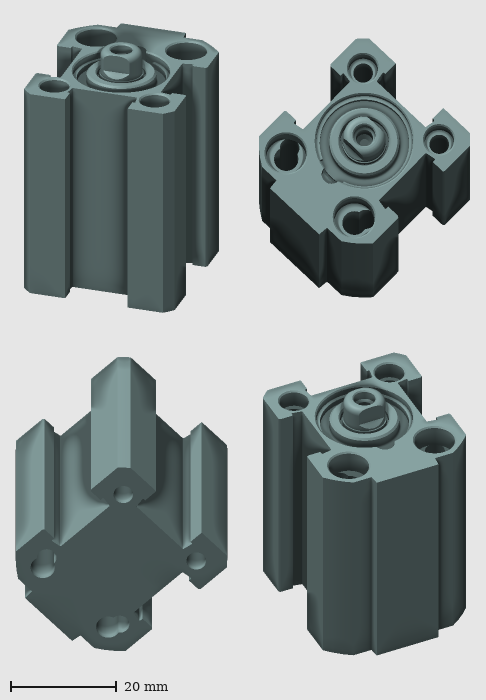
import cadquery as cq
import math


total_height = 46.5
housing_height = 42.0
half_width = 14.995
corner_radius = 20.0
shoulder_y = 17.05
rail_top_y = 19.0
rail_top_half_width = 6.45
rail_root_half_width = 6.65

side_mouth_half_width = 6.05
side_mouth_chamfer = 0.3
front_mouth_half_width = 6.25
slot_lip_depth = 2.9
slot_floor_depth = 5.0
slot_floor_half_width = 6.4
slot_undercut_half_width = 6.8
slot_fillet = 0.2

bolt_offset = 10.0
bolt_hole_diameter = 3.7
small_bore_diameter = 5.6
large_bore_diameter = 7.65
large_bore_x = 8.97
large_bore_y = 12.0
access_hole_diameter = 4.6
small_bore_depth = 3.5
large_bore_depth = 4.4
corner_bore_chamfer = 0.3

bore_diameter = 18.3
bore_mouth_diameter = 18.85
groove_diameter = 19.0
groove_height = 1.1
bore_chamfer = (bore_mouth_diameter - bore_diameter) / 2
gland_face_depth = 2.6
gland_face_z = housing_height - gland_face_depth
gland_thickness = 8.0
gland_diameter = 17.9
bore_floor_z = gland_face_z - gland_thickness
notch_diameter = 3.7
notch_y = 8.97

collar_diameter = 13.2
collar_top_z = housing_height - 0.25
collar_chamfer = 0.35
collar_root_fillet = 0.395
selection_margin = 0.05
seal_seat_diameter = 9.2
seal_seat_depth = 2.8
seal_seat_chamfer = 0.33

ring_inner_diameter = 16.93
ring_gap_left_angle = 16.4
ring_gap_right_angle = 24.3

seal_recess = 1.4
lip_recess = 0.1
lip_diameter = 8.4

rod_diameter = 8.0
rod_flat_width = 6.05
rod_flat_length = 3.5
rod_edge_radius = 1.3
socket_mouth_diameter = 4.6
socket_diameter = 4.15
socket_depth = 1.9
thread_diameter = 3.25
thread_depth = 5.6
drill_tip_diameter = 1.65
drill_tip_half_angle = 59.0


def cylinder(diameter, bottom_z, top_z, x=0.0, y=0.0):
    base = cq.Workplane("XY", origin=(x, y, bottom_z))
    return base.circle(diameter / 2).extrude(top_z - bottom_z)


def cone(bottom_diameter, top_diameter, bottom_z, top_z, x=0.0, y=0.0):
    solid = cq.Solid.makeCone(
        bottom_diameter / 2, top_diameter / 2, top_z - bottom_z, cq.Vector(x, y, bottom_z)
    )
    return cq.Workplane(obj=solid)


def on_corner_circle(offset):
    """The other coordinate of the point of the corner circle at this offset from an axis."""
    return math.sqrt(corner_radius**2 - offset**2)


def housing_block():
    side_y_top = on_corner_circle(half_width)
    shoulder_x = on_corner_circle(shoulder_y)
    diagonal = corner_radius * math.sqrt(0.5)
    upper_angle = (math.atan2(shoulder_y, shoulder_x) + math.atan2(side_y_top, half_width)) / 2
    upper_mid = (corner_radius * math.cos(upper_angle), corner_radius * math.sin(upper_angle))
    return (
        cq.Workplane("XY")
        .moveTo(-side_y_top, -half_width)
        .lineTo(side_y_top, -half_width)
        .threePointArc((diagonal, -diagonal), (half_width, -side_y_top))
        .lineTo(half_width, side_y_top)
        .threePointArc(upper_mid, (shoulder_x, shoulder_y))
        .lineTo(rail_root_half_width, shoulder_y)
        .lineTo(rail_top_half_width, rail_top_y)
        .lineTo(-rail_top_half_width, rail_top_y)
        .lineTo(-rail_root_half_width, shoulder_y)
        .lineTo(-shoulder_x, shoulder_y)
        .threePointArc((-upper_mid[0], upper_mid[1]), (-half_width, side_y_top))
        .lineTo(-half_width, -side_y_top)
        .threePointArc((-diagonal, -diagonal), (-side_y_top, -half_width))
        .close()
        .extrude(housing_height)
    )


def dovetail_slot(turn, mouth_half_width, mouth_chamfer):
    """A slot through the -Y face, turned about the rod axis by this angle."""
    lip_y = -half_width + slot_lip_depth
    floor_y = -half_width + slot_floor_depth
    pocket = (
        cq.Workplane("XY")
        .polyline([
            (-slot_undercut_half_width, lip_y),
            (slot_undercut_half_width, lip_y),
            (slot_floor_half_width, floor_y),
            (-slot_floor_half_width, floor_y),
        ])
        .close()
        .extrude(housing_height)
        .edges("|Z")
        .fillet(slot_fillet)
    )
    mouth = cq.Workplane("XY").box(
        2 * mouth_half_width, slot_lip_depth + slot_fillet, housing_height, centered=(True, False, False)
    ).translate((0, -half_width, 0))
    if mouth_chamfer > 0:
        flare_half_width = mouth_half_width + mouth_chamfer
        flare = (
            cq.Workplane("XY")
            .polyline([
                (-flare_half_width, -half_width),
                (flare_half_width, -half_width),
                (mouth_half_width, -half_width + mouth_chamfer),
                (-mouth_half_width, -half_width + mouth_chamfer),
            ])
            .close()
            .extrude(housing_height)
        )
        mouth = mouth.union(flare)
    return pocket.union(mouth).rotate((0, 0, 0), (0, 0, 1), turn)


def chamfered_bore(diameter, depth, x, y):
    """A flat-floored bore sunk from the top of the housing, with a chamfered mouth."""
    floor_z = housing_height - depth
    mouth = cone(diameter, diameter + 2 * corner_bore_chamfer,
                 housing_height - corner_bore_chamfer, housing_height, x, y)
    return cylinder(diameter, floor_z, housing_height, x, y).union(mouth)


def make_housing():
    body = housing_block()
    body = body.cut(dovetail_slot(0, front_mouth_half_width, 0))
    for turn in (-90, 90):
        body = body.cut(dovetail_slot(turn, side_mouth_half_width, side_mouth_chamfer))

    small_floor_z = housing_height - small_bore_depth
    large_floor_z = housing_height - large_bore_depth
    for side in (-1, 1):
        bolt_x = side * bolt_offset
        access_x = side * large_bore_x
        body = body.cut(cylinder(bolt_hole_diameter, 0, small_floor_z, bolt_x, -bolt_offset))
        body = body.cut(chamfered_bore(small_bore_diameter, small_bore_depth, bolt_x, -bolt_offset))
        body = body.cut(cylinder(bolt_hole_diameter, 0, large_floor_z, bolt_x, bolt_offset))
        body = body.cut(cylinder(access_hole_diameter, 0, large_floor_z, access_x, large_bore_y))
        body = body.cut(chamfered_bore(large_bore_diameter, large_bore_depth, access_x, large_bore_y))

    lead_in_z = gland_face_z - (groove_diameter - gland_diameter) / 2
    body = body.cut(cylinder(gland_diameter, bore_floor_z, gland_face_z))
    body = body.cut(cone(gland_diameter, groove_diameter, lead_in_z, gland_face_z))
    body = body.cut(cylinder(bore_diameter, gland_face_z, housing_height))
    body = body.cut(cone(bore_diameter, bore_mouth_diameter, housing_height - bore_chamfer, housing_height))
    body = body.cut(cylinder(groove_diameter, gland_face_z, gland_face_z + groove_height))
    return body.cut(cylinder(notch_diameter, gland_face_z, housing_height, 0, notch_y))


def make_gland():
    body = cylinder(gland_diameter, bore_floor_z, gland_face_z)
    collar = cylinder(collar_diameter, gland_face_z, collar_top_z).faces(">Z").chamfer(collar_chamfer)
    body = body.union(collar)
    root = cq.selectors.BoxSelector(
        (-collar_diameter, -collar_diameter, gland_face_z - selection_margin),
        (collar_diameter, collar_diameter, gland_face_z + selection_margin),
    )
    smallest = cq.selectors.RadiusNthSelector(0)
    body = body.edges(root).edges("%CIRCLE").edges(smallest).fillet(collar_root_fillet)
    body = body.cut(cylinder(rod_diameter, bore_floor_z, collar_top_z))
    body = body.cut(cylinder(seal_seat_diameter, collar_top_z - seal_seat_depth, collar_top_z))
    return body.cut(cone(seal_seat_diameter, seal_seat_diameter + 2 * seal_seat_chamfer,
                         collar_top_z - seal_seat_chamfer, collar_top_z))


def make_snap_ring():
    ring_top_z = gland_face_z + groove_height
    ring = cylinder(groove_diameter, gland_face_z, ring_top_z)
    ring = ring.cut(cylinder(ring_inner_diameter, gland_face_z, ring_top_z))
    reach = groove_diameter
    left_x = -reach * math.tan(math.radians(ring_gap_left_angle))
    right_x = reach * math.tan(math.radians(ring_gap_right_angle))
    gap = (
        cq.Workplane("XY", origin=(0, 0, gland_face_z))
        .polyline([(0, 0), (right_x, reach), (left_x, reach)])
        .close()
        .extrude(groove_height)
    )
    return ring.cut(gap)


def make_seal():
    bottom_z = collar_top_z - seal_seat_depth
    top_z = collar_top_z - seal_recess
    lip_z = collar_top_z - lip_recess
    ring = cylinder(seal_seat_diameter, bottom_z, top_z).union(cylinder(lip_diameter, bottom_z, lip_z))
    return ring.cut(cylinder(rod_diameter, bottom_z, lip_z))


def make_rod():
    body = cylinder(rod_diameter, bore_floor_z, total_height).faces(">Z").edges().fillet(rod_edge_radius)

    flat_y = rod_flat_width / 2
    flat_z = total_height - rod_flat_length
    runout = rod_diameter / 2
    for side in (-1, 1):
        flat = (
            cq.Workplane("YZ")
            .polyline([
                (side * flat_y, total_height),
                (side * flat_y, flat_z),
                (side * (flat_y + runout), flat_z - runout),
                (side * (flat_y + runout), total_height),
            ])
            .close()
            .extrude(rod_diameter / 2, both=True)
        )
        body = body.cut(flat)

    mouth_z = total_height - (socket_mouth_diameter - socket_diameter) / 2
    socket_floor_z = total_height - socket_depth
    countersink_z = socket_floor_z - (socket_diameter - thread_diameter) / 2
    thread_bottom_z = total_height - thread_depth
    tip_radius_drop = (thread_diameter - drill_tip_diameter) / 2
    tip_z = thread_bottom_z - tip_radius_drop / math.tan(math.radians(drill_tip_half_angle))
    body = body.cut(cone(socket_diameter, socket_mouth_diameter, mouth_z, total_height))
    body = body.cut(cylinder(socket_diameter, socket_floor_z, total_height))
    body = body.cut(cone(thread_diameter, socket_diameter, countersink_z, socket_floor_z))
    body = body.cut(cylinder(thread_diameter, thread_bottom_z, total_height))
    return body.cut(cone(drill_tip_diameter, thread_diameter, tip_z, thread_bottom_z))


housing = make_housing()
gland = make_gland()
snap_ring = make_snap_ring()
seal = make_seal()
rod = make_rod()

result = cq.Compound.makeCompound([housing.val(), gland.val(), snap_ring.val(), seal.val(), rod.val()])